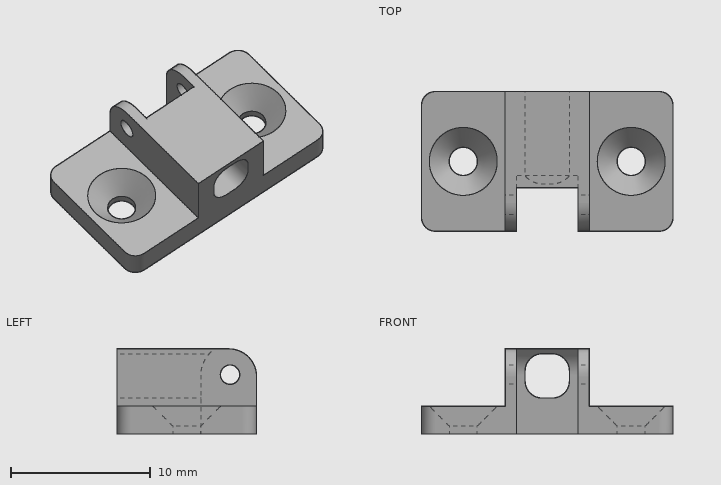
import cadquery as cq
import math

length = 18.0
depth = 10.0
plate_height = 2.0
corner_radius = 1.0

screw_diameter = 2.0
sink_diameter = 4.86
sink_angle = 90.0
screw_spacing = 12.0

block_width = 6.01
block_height = 6.1
nose_radius = 2.0

pin_diameter = 1.37
pin_setback = 1.9
pin_height = 4.25

slot_width = 4.4
slot_depth = 4.0
hollow_angle = math.radians(38)

window_size = 3.15
window_radius = 1.2
window_height = 4.15

front = -depth / 2
pin_y = front + pin_setback


def make_plate():
    plate = cq.Workplane("XY").box(length, depth, plate_height, centered=(True, True, False))
    return plate.edges("|Z").fillet(corner_radius)


def make_block():
    block = cq.Workplane("XY").box(block_width, depth, block_height, centered=(True, True, False))
    return block.edges("|X and >Z and <Y").fillet(nose_radius)


def make_slot():
    """Slot whose rear wall rises straight, arcs forward about the pin and ends in a tangent slope."""
    wall_y = front + slot_depth
    radius = wall_y - pin_y

    def arc_point(angle):
        return (pin_y + radius * math.cos(angle), pin_height + radius * math.sin(angle))

    arc_end = arc_point(hollow_angle)
    lip_y = arc_end[0] - (block_height - arc_end[1]) * math.tan(hollow_angle)
    return (
        cq.Workplane("YZ")
        .moveTo(front, 0)
        .lineTo(wall_y, 0)
        .lineTo(wall_y, pin_height)
        .threePointArc(arc_point(hollow_angle / 2), arc_end)
        .lineTo(lip_y, block_height)
        .lineTo(front, block_height)
        .close()
        .extrude(slot_width / 2, both=True)
    )


def make_pin_hole():
    return (
        cq.Workplane("YZ")
        .center(pin_y, pin_height)
        .circle(pin_diameter / 2)
        .extrude(block_width / 2, both=True)
    )


def make_window():
    return (
        cq.Workplane("XZ")
        .center(0, window_height)
        .rect(window_size, window_size)
        .extrude(depth / 2, both=True)
        .edges("|Y")
        .fillet(window_radius)
    )


plate = (
    make_plate()
    .faces(">Z")
    .workplane()
    .pushPoints([(-screw_spacing / 2, 0), (screw_spacing / 2, 0)])
    .cskHole(screw_diameter, sink_diameter, sink_angle)
)
result = plate.union(make_block()).cut(make_slot()).cut(make_pin_hole()).cut(make_window())